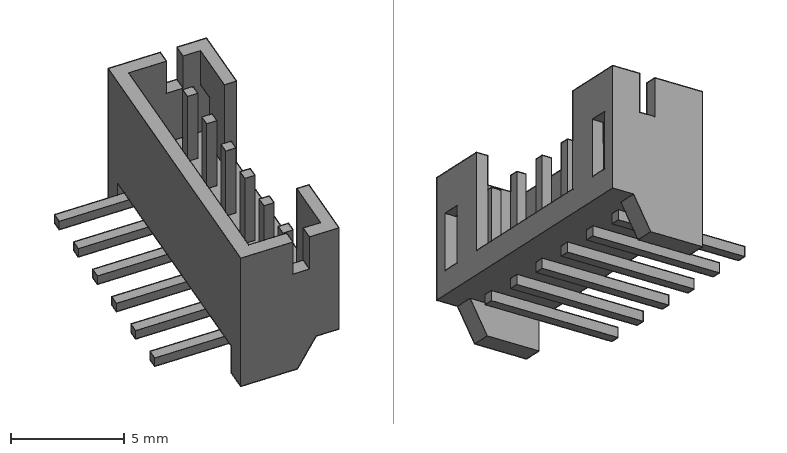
import cadquery as cq


width = 13.9
depth = 4.8
body_height = 6.0
leg_height = 1.6
leg_width = 1.0
front_wall = 0.7
rear_wall = 0.6
side_wall = 0.65

leg_slope_top = 1.11
leg_slope_bottom = 2.03

rear_floor = 1.2
floor_drop = 0.58
front_floor = rear_floor - floor_drop
floor_slope_from_rear = 2.28

notch_width = 7.59
side_slot_width = 0.8
side_slot_depth = 1.9
window_width = 0.96
window_below_rim = 2.0

pin_count = 6
pin_pitch = 2.0
pin_size = 0.5
pin_below_rim = 0.96
pin_from_rear = 1.45
pin_reach = 3.4

half_width = width / 2
half_inner_width = half_width - side_wall
pin_rear_y = depth - pin_from_rear
rear_wall_y = (depth - rear_wall, depth)


def box(x_range, y_range, z_range):
    """Box spanning the given (low, high) range along each axis."""
    (x0, x1), (y0, y1), (z0, z1) = x_range, y_range, z_range
    block = cq.Workplane("XY").box(x1 - x0, y1 - y0, z1 - z0, centered=False)
    return block.translate((x0, y0, z0))


def side_prism(points, x_start, length):
    """Extrude a (Y, Z) outline along +X from x_start."""
    return cq.Workplane("YZ", origin=(x_start, 0, 0)).polyline(points).close().extrude(length)


def housing_block():
    """Solid body standing on a leg at each end."""
    block = box((-half_width, half_width), (0, depth), (0, body_height))
    leg_outline = [
        (0, 0),
        (depth - leg_slope_top, 0),
        (depth - leg_slope_bottom, -leg_height),
        (0, -leg_height),
    ]
    for x_start in (-half_width, half_width - leg_width):
        block = block.union(side_prism(leg_outline, x_start, leg_width))
    return block


def cavity():
    """Open-topped space inside the walls, with the stepped floor."""
    slope_y = depth - floor_slope_from_rear
    inner_rear_y = depth - rear_wall
    outline = [
        (front_wall, body_height),
        (front_wall, front_floor),
        (slope_y - floor_drop, front_floor),
        (slope_y, rear_floor),
        (inner_rear_y, rear_floor),
        (inner_rear_y, body_height),
    ]
    return side_prism(outline, -half_inner_width, 2 * half_inner_width)


def rear_notch():
    """Wide opening in the rear wall, from the rim down to the floor."""
    return box((-notch_width / 2, notch_width / 2), rear_wall_y, (rear_floor, body_height))


def side_slots():
    """Slots in both end walls, starting level with the rear of the pins."""
    return box(
        (-half_width, half_width),
        (pin_rear_y - side_slot_width, pin_rear_y),
        (body_height - side_slot_depth, body_height),
    )


def rear_windows():
    """Windows through the rear wall, one beside each end wall."""
    z_range = (rear_floor, body_height - window_below_rim)
    inner_x = half_inner_width - window_width
    left = box((-half_inner_width, -inner_x), rear_wall_y, z_range)
    right = box((inner_x, half_inner_width), rear_wall_y, z_range)
    return left.union(right)


def pin(x_center):
    """Bent pin: an upright through the floor and a tail running forward below the body."""
    x_range = (x_center - pin_size / 2, x_center + pin_size / 2)
    upright = box(x_range, (pin_rear_y - pin_size, pin_rear_y), (-pin_size, body_height - pin_below_rim))
    tail = box(x_range, (-pin_reach, pin_rear_y), (-pin_size, 0))
    return upright.union(tail)


result = housing_block().cut(cavity()).cut(rear_notch()).cut(side_slots()).cut(rear_windows())
first_pin_x = -(pin_count - 1) * pin_pitch / 2
for index in range(pin_count):
    result = result.union(pin(first_pin_x + index * pin_pitch))